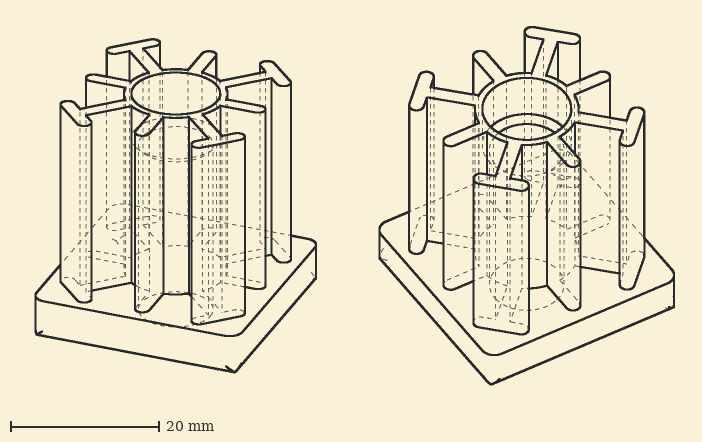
import cadquery as cq

height = 33.0
base_side = 30.0
base_height = 6.0
corner_radius = 1.9
bottom_radius = 1.65

tube_outer_diameter = 14.0
bore_diameter = 12.0
through_diameter = 10.1
bore_depth = 6.8
taper_height = 0.95

rib_width = 2.0
rib_span = 26.0
crossbar_length = 7.65
crossbar_distance = 14.6

rib_height = height - base_height


def rounded_slab():
    """Bar along Y whose two lower long edges are rounded."""
    return (
        cq.Workplane("XY")
        .box(base_side, base_side, base_height, centered=(True, True, False))
        .edges("|Y and <Z")
        .fillet(bottom_radius)
    )


def base_plate():
    """Square plate with round corners; the lower edge rounds run straight and meet the corners."""
    slab = rounded_slab()
    crossed_slab = slab.rotate((0, 0, 0), (0, 0, 1), 90)
    outline = (
        cq.Workplane("XY")
        .rect(base_side, base_side)
        .extrude(base_height)
        .edges("|Z")
        .fillet(corner_radius)
    )
    return outline.intersect(slab).intersect(crossed_slab)


def upright():
    """Workplane on top of the base plate."""
    return cq.Workplane("XY").workplane(offset=base_height)


def straight_ribs(angle):
    """Pair of opposite ribs with round tips."""
    return upright().slot2D(rib_span, rib_width, angle).extrude(rib_height)


def t_ribs(angle):
    """Pair of opposite ribs, each ending in a round-ended crossbar."""
    web = upright().rect(2 * crossbar_distance, rib_width).extrude(rib_height)
    crossbars = (
        upright()
        .pushPoints([(-crossbar_distance, 0), (crossbar_distance, 0)])
        .slot2D(crossbar_length, rib_width, 90)
        .extrude(rib_height)
    )
    return web.union(crossbars).rotate((0, 0, 0), (0, 0, 1), angle)


def stepped_bore():
    """Wide bore from the top, tapering to a narrower through hole."""
    bore_radius = bore_diameter / 2
    through_radius = through_diameter / 2
    bore_floor = height - bore_depth
    return (
        cq.Workplane("XZ")
        .moveTo(0, 0)
        .lineTo(through_radius, 0)
        .lineTo(through_radius, bore_floor - taper_height)
        .lineTo(bore_radius, bore_floor)
        .lineTo(bore_radius, height)
        .lineTo(0, height)
        .close()
        .revolve(360, (0, 0, 0), (0, 1, 0))
    )


tube = upright().circle(tube_outer_diameter / 2).extrude(rib_height)
body = base_plate().union(tube)
for rib_angle in (0, 90):
    body = body.union(straight_ribs(rib_angle))
    body = body.union(t_ribs(rib_angle + 45))

result = body.cut(stepped_bore())